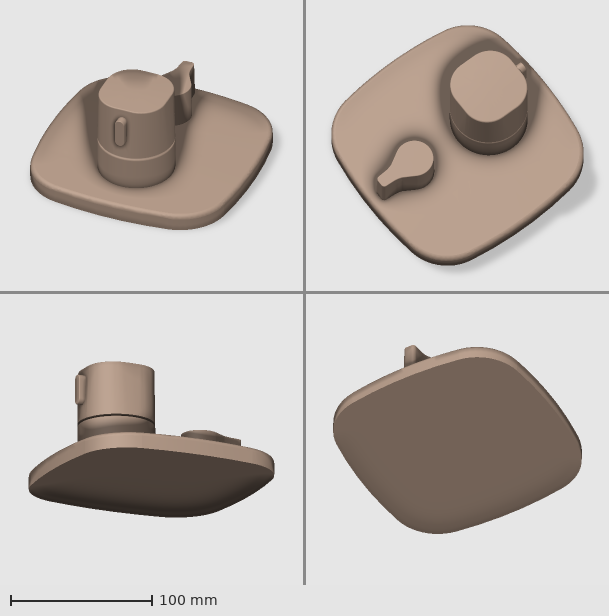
import cadquery as cq
import math

plate_half = 77.0
side_end = 43.5
side_bow = 3.4
dome_top = 13.7
dome_radius = 2310.2
plate_rim_fillet = 3.1

overlap = 1.5
base_z = dome_top / 2

knob_y = -27.7
column_radius = 27.5
column_top = 37.9
column_fillet = 1.5
neck_radius = 22.0
knob_bottom = 39.0
knob_top = 78.9
knob_crown_radius = 369.6
knob_top_half = 24.8
knob_corner_radius = 18.5
knob_rim_fillet = 1.0

grip_width = 7.2
grip_bottom = 50.2
grip_top = 71.9
grip_front = -58.7
grip_fillet = 0.6

lever_y = 38.2
lever_radius = 14.0
lever_tangent_angle = 29.0
flank_end = (6.8, 54.4)
flank_middle = (5.78, 57.9)
stem_start = (5.4, 61.6)
tip_half = 5.0
tip_y = 69.6
tip_fillet = 2.6
lever_bottom = 14.3
lever_top = 40.0
lever_crown_radius = 800.9
lever_taper = 1.2
lever_rim_fillet = 0.5
lever_neck_radius = 13.2


def turned(point, turn):
    """Turn a point about the origin by an angle in radians."""
    x, y = point
    return (x * math.cos(turn) - y * math.sin(turn), x * math.sin(turn) + y * math.cos(turn))


def crown(x, y, top, radius):
    """Large ball whose highest point is (x, y, top); it trims a body to a domed top."""
    return cq.Workplane("XY").sphere(radius).translate((x, y, top - radius))


def make_plate():
    side_radius = (side_end**2 + side_bow**2) / (2 * side_bow)
    end_angle = math.asin(side_end / side_radius)
    shoulder = plate_half - side_bow
    corner_turn = math.pi / 2 - 2 * end_angle
    corner_chord = math.sqrt(2) * (shoulder - side_end)
    corner_rise = corner_chord / 2 * math.tan(corner_turn / 4)
    corner_mid = (shoulder + side_end) / 2 + corner_rise / math.sqrt(2)

    outline = cq.Workplane("XY").moveTo(-side_end, shoulder)
    for quarter in range(4):
        turn = -quarter * math.pi / 2
        outline = outline.threePointArc(turned((0, plate_half), turn), turned((side_end, shoulder), turn))
        outline = outline.threePointArc(
            turned((corner_mid, corner_mid), turn), turned((shoulder, side_end), turn)
        )
    plate = outline.close().extrude(dome_top + overlap)
    plate = plate.intersect(crown(0, 0, dome_top, dome_radius))
    return plate.faces(">Z").edges().fillet(plate_rim_fillet)


def make_column():
    column = cq.Workplane("XY", origin=(0, knob_y, base_z)).circle(column_radius)
    column = column.extrude(column_top - base_z).faces(">Z").edges().fillet(column_fillet)
    neck = cq.Workplane("XY", origin=(0, knob_y, base_z)).circle(neck_radius)
    return column.union(neck.extrude(knob_bottom + overlap - base_z))


def make_knob():
    flat_half = knob_top_half - knob_corner_radius
    corner_mid = flat_half + knob_corner_radius / math.sqrt(2)
    foot_angle = math.atan2(flat_half, knob_top_half)

    def foot_point(angle):
        return (column_radius * math.cos(angle), column_radius * math.sin(angle))

    foot = cq.Workplane("XY", origin=(0, knob_y, knob_bottom)).moveTo(*foot_point(-foot_angle))
    head = cq.Workplane("XY", origin=(0, knob_y, knob_top)).moveTo(knob_top_half, -flat_half)
    for quarter in range(4):
        turn = quarter * math.pi / 2
        foot = foot.threePointArc(foot_point(turn), foot_point(turn + foot_angle))
        foot = foot.threePointArc(foot_point(turn + math.pi / 4), foot_point(turn + math.pi / 2 - foot_angle))
        head = head.lineTo(*turned((knob_top_half, flat_half), turn))
        head = head.threePointArc(
            turned((corner_mid, corner_mid), turn), turned((flat_half, knob_top_half), turn)
        )
    foot_wire = foot.wire().val()
    head_wire = head.wire().val()
    knob = cq.Workplane(cq.Solid.makeLoft([foot_wire, head_wire], True))
    knob = knob.intersect(crown(0, knob_y, knob_top, knob_crown_radius))
    return knob.faces(">Z").edges().fillet(knob_rim_fillet)


def make_grip():
    height = grip_top - grip_bottom
    grip = cq.Workplane("XZ", origin=(0, knob_y, (grip_top + grip_bottom) / 2))
    grip = grip.slot2D(height, grip_width, 90).extrude(knob_y - grip_front)
    return grip.faces("<Y").edges().fillet(grip_fillet)


def make_lever():
    angle = math.radians(lever_tangent_angle)
    round_x = lever_radius * math.cos(angle)
    round_y = lever_y + lever_radius * math.sin(angle)

    def mirrored(point):
        return (-point[0], point[1])

    lever = (
        cq.Workplane("XY", origin=(0, 0, lever_bottom))
        .moveTo(-round_x, round_y)
        .threePointArc((0, lever_y - lever_radius), (round_x, round_y))
        .lineTo(*flank_end)
        .threePointArc(flank_middle, stem_start)
        .lineTo(tip_half, tip_y)
        .lineTo(-tip_half, tip_y)
        .lineTo(*mirrored(stem_start))
        .threePointArc(mirrored(flank_middle), mirrored(flank_end))
        .close()
        .extrude(lever_top + overlap - lever_bottom, taper=lever_taper)
    )
    lever = lever.edges("not #Z").edges(">Y").fillet(tip_fillet)
    lever = lever.intersect(crown(0, lever_y, lever_top, lever_crown_radius))
    lever = lever.faces(">Z").edges().fillet(lever_rim_fillet)
    neck = cq.Workplane("XY", origin=(0, lever_y, base_z)).circle(lever_neck_radius)
    return lever.union(neck.extrude(lever_bottom + overlap - base_z))


result = make_plate().union(make_column()).union(make_knob()).union(make_grip()).union(make_lever())